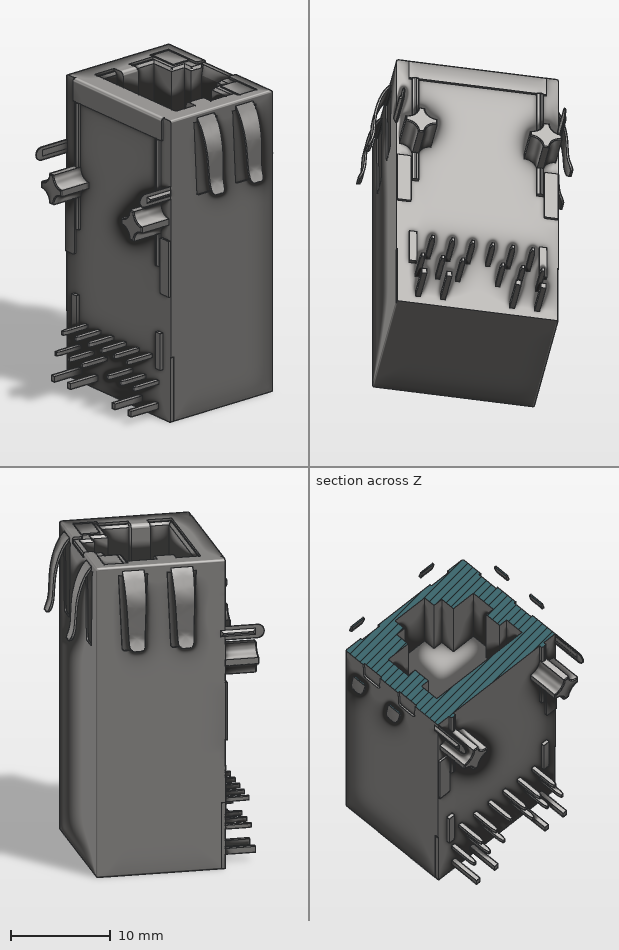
import cadquery as cq


WIDTH = 16.5
DEPTH = 13.25
HEIGHT = 32.5
HALF_WIDTH = WIDTH / 2
EDGE_RADIUS = 0.25
CORNER_RADIUS = 0.2
SHEET = 0.25
EMBED = 0.5

INSERT_TOP = HEIGHT - SHEET
LED_SETBACK = 0.12
LED_TOP = HEIGHT - LED_SETBACK
CAVITY_DEPTH = 14.0
CAVITY_FLOOR = HEIGHT - CAVITY_DEPTH
LEAD_IN = 0.28
LEAD_IN_ANGLE = 45
CAVITY_BOTTOM = 2.5
PLUG_HALF_WIDTH = 5.95
SHOULDER_Y = 9.4
STEP_HALF_WIDTH = 3.15
STEP_Y = 11.05
LATCH_HALF_WIDTH = 2.05
LATCH_Y = 12.4
LATCH_LEAD_IN = 0.22
LATCH_LEAD_IN_DEPTH = 1.1

WINDOW_HALF_WIDTH = 6.42
WINDOW_BOTTOM = 2.12
WINDOW_CORNER_RADIUS = 0.15
LED_WINDOW_HALF_WIDTH = 7.0
LED_WINDOW_BOTTOM = 9.7
LED_WINDOW_TOP = 12.15
NOTCH_HALF_WIDTH = 2.5
NOTCH_BACK_SHEET = 0.13
NOTCH_TOP = DEPTH - NOTCH_BACK_SHEET
NOTCH_BACK_DROP = 0.6
LED_INNER_X = 3.75
LED_BOTTOM = 10.1

KEY_INNER_X = 4.97
KEY_BOTTOM = 4.65
KEY_TOP = 6.6
KEY_RADIUS = 0.48

SPRING_REACH = 2.215
SPRING_SHEET_OFFSET = (-0.2, -0.1)
SPRING_TIP_Z = 24.15
SPRING_TIP_CUT = 0.08
SPRING_CURVE = (
    (-0.2, 32.24),
    (0.5, 31.43),
    (1.13, 30.07),
    (1.5, 28.6),
    (1.64, 27.2),
    (1.77, 25.4),
    (SPRING_REACH, SPRING_TIP_Z + SPRING_TIP_CUT),
)
SPRING_ROOT_WIDTH = 2.24
SPRING_TIP_WIDTH = 1.56
SPRING_TIP_RADIUS = 0.6
SLOT_TOP = 31.6
SLOT_BOTTOM = 23.68
SLOT_TOP_WIDTH = 3.0
SLOT_BOTTOM_WIDTH = 2.24
SLOT_RECESS = 0.2
SLOT_RADIUS = 0.3
SIDE_SPRING_Y = (4.48, 9.48)
BACK_SPRING_X = 4.87

LIP_HALF_WIDTH = 7.0
LIP_DROP = 2.43
LIP_PROUD = 0.22
LIP_RADIUS = 0.38
RIB_PROUD = 0.37
RIB_WIDTH = 0.64
RIB_CREST = 0.14
RIB_SHOULDER = 0.27
RIB_BOTTOM = 16.45
TAB_INNER_X = 6.77
TAB_BOTTOM = 13.55
TAB_TOP = 19.57
TAB_RADIUS = 0.2
FOOT_INNER_X = 6.25
FOOT_OUTER_X = 7.0
FOOT_BOTTOM = 5.35
FOOT_TOP = 9.3
RELIEF = 0.08
RELIEF_HEIGHT = 7.0
RELIEF_DEPTH = 0.4

POST_X = 6.35
POST_Z = 21.57
POST_LENGTH = 3.56
POST_REACH = 1.6
POST_FLAT = 0.66
POST_END_CHAMFER = 0.1

GROUND_PIN_Z = 24.78
GROUND_PIN_WIDTH = 1.4
GROUND_PIN_LENGTH = 3.995
GROUND_PIN_SHEET = 0.1
STIFFENER_PROUD = 0.25
STIFFENER_WIDTH = 0.65
STIFFENER_END = 3.1
STIFFENER_SLOPE = 45
STIFFENER_STARTS = ((-1, 0.5), (1, 0.0))

SIGNAL_PIN_WIDTH = 0.45
SIGNAL_PIN_THICKNESS = 0.4
SIGNAL_PIN_LENGTH = 3.14
SIGNAL_TIP_LENGTH = 0.5
SIGNAL_TIP_WIDTH = 0.25
SIGNAL_PITCH = 1.02
UPPER_ROW_Z = 6.33
LOWER_ROW_Z = 3.78
UPPER_ROW_PITCHES = (1, 3, 5)
LOWER_ROW_PITCHES = (2, 4, 6)
LED_PIN_X = (3.53, 6.07)
LED_PIN_Z = 1.23
LED_PIN_WIDTH = 0.5
LED_PIN_HEIGHT = 0.62
LED_PIN_LENGTH = 3.56


def block(x0, x1, y0, y1, z0, z1):
    """Box between two corners."""
    return cq.Workplane("XY").box(x1 - x0, y1 - y0, z1 - z0, centered=False).translate((x0, y0, z0))


def both_sides(shape):
    """The shape together with its mirror image across x = 0."""
    return shape.union(shape.mirror("YZ"))


def make_housing():
    body = block(-HALF_WIDTH, HALF_WIDTH, 0, DEPTH, 0, HEIGHT)
    body = body.edges("|Z and >Y").fillet(CORNER_RADIUS)
    body = body.faces(">Z").edges("not <Y").fillet(EDGE_RADIUS)
    return body.faces("<Z").edges("not <Y").fillet(CORNER_RADIUS)


def add_lip(body):
    """Shield edge folded with a round bend from the mouth onto the board face."""
    corner = block(-LIP_HALF_WIDTH, LIP_HALF_WIDTH, 0, EMBED, HEIGHT - LIP_DROP, HEIGHT)
    lip = block(-LIP_HALF_WIDTH, LIP_HALF_WIDTH, -LIP_PROUD, EMBED, HEIGHT - LIP_DROP, HEIGHT)
    return body.cut(corner).union(lip.edges(">Z and <Y").fillet(LIP_RADIUS))


def cavity_outline(latch_y):
    """Stepped outline of the plug cavity, closed by the latch side at latch_y."""
    right = [
        (PLUG_HALF_WIDTH, CAVITY_BOTTOM),
        (PLUG_HALF_WIDTH, SHOULDER_Y),
        (STEP_HALF_WIDTH, SHOULDER_Y),
        (STEP_HALF_WIDTH, STEP_Y),
        (LATCH_HALF_WIDTH, STEP_Y),
        (LATCH_HALF_WIDTH, latch_y),
    ]
    left = [(-x, y) for x, y in reversed(right)]
    return cq.Workplane("XY").workplane(offset=INSERT_TOP).polyline(right + left).close()


def make_window():
    """Opening in the shield sheet, running out through the back wall between the LEDs."""
    plug = block(-WINDOW_HALF_WIDTH, WINDOW_HALF_WIDTH, WINDOW_BOTTOM, LED_WINDOW_TOP, INSERT_TOP, HEIGHT)
    leds = block(-LED_WINDOW_HALF_WIDTH, LED_WINDOW_HALF_WIDTH,
                 LED_WINDOW_BOTTOM, LED_WINDOW_TOP, INSERT_TOP, HEIGHT)
    notch = block(-NOTCH_HALF_WIDTH, NOTCH_HALF_WIDTH, LED_WINDOW_BOTTOM, DEPTH, INSERT_TOP, HEIGHT)
    notch_back = block(-NOTCH_HALF_WIDTH, NOTCH_HALF_WIDTH, NOTCH_TOP, DEPTH,
                       HEIGHT - NOTCH_BACK_DROP, HEIGHT)
    plug = plug.edges("|Z and <Y").fillet(WINDOW_CORNER_RADIUS)
    leds = leds.edges("|Z and <Y").fillet(WINDOW_CORNER_RADIUS)
    window = plug.union(leds).union(notch)
    for x in (-NOTCH_HALF_WIDTH, NOTCH_HALF_WIDTH):
        corner = cq.selectors.NearestToPointSelector((x, LED_WINDOW_TOP, (INSERT_TOP + HEIGHT) / 2))
        window = window.edges("|Z").edges(corner).chamfer(WINDOW_CORNER_RADIUS)
    return window.union(notch_back)


def make_latch_lead_in():
    """Long shallow wedge along the latch side of the cavity."""
    bottom = INSERT_TOP - LATCH_LEAD_IN_DEPTH
    inside = LATCH_Y - LEAD_IN
    points = [(inside, INSERT_TOP), (LATCH_Y + LATCH_LEAD_IN, INSERT_TOP), (LATCH_Y, bottom), (inside, bottom)]
    return cq.Workplane("YZ").polyline(points).close().extrude(LATCH_HALF_WIDTH, both=True)


def cut_mouth(body):
    """Shield window with LED faces behind it, and the plug cavity with its lead-in."""
    body = body.cut(make_window())
    led = block(LED_INNER_X, LED_WINDOW_HALF_WIDTH, LED_BOTTOM, LED_WINDOW_TOP, INSERT_TOP - EMBED, LED_TOP)
    body = body.union(both_sides(led))
    rim = cavity_outline(LATCH_Y + LATCH_LEAD_IN - LEAD_IN).offset2D(LEAD_IN, "intersection")
    body = body.cut(cavity_outline(LATCH_Y).extrude(CAVITY_FLOOR - INSERT_TOP))
    return body.cut(rim.extrude(-LEAD_IN, taper=LEAD_IN_ANGLE)).cut(make_latch_lead_in())


def make_keys():
    key = block(KEY_INNER_X, WINDOW_HALF_WIDTH + EMBED, KEY_BOTTOM, KEY_TOP, CAVITY_FLOOR, HEIGHT)
    return both_sides(key.edges(">Z and <X").fillet(KEY_RADIUS))


def spring_profile():
    """Bowed sheet in the XZ plane: x is the distance outward from the wall."""
    dx, dz = SPRING_SHEET_OFFSET
    inner = [(x + dx, z + dz) for x, z in reversed(SPRING_CURVE)]
    outline = cq.Workplane("XZ").moveTo(*SPRING_CURVE[0]).spline(SPRING_CURVE[1:], includeCurrent=True)
    return outline.lineTo(*inner[0]).spline(inner[1:], includeCurrent=True).close()


def taper_plate(bottom_z, top_width, bottom_width, radius, x0, x1):
    """Plate between x0 and x1 that narrows from the slot top down to a rounded bottom."""
    top = top_width / 2
    bottom = bottom_width / 2
    points = [(-top, SLOT_TOP), (top, SLOT_TOP), (bottom, bottom_z), (-bottom, bottom_z)]
    plate = cq.Workplane("YZ").workplane(offset=x0).polyline(points).close().extrude(x1 - x0)
    return plate.edges("|X and <Z").fillet(radius)


def make_spring():
    """Spring finger on the wall x = 0, pointing along +X."""
    half = SPRING_ROOT_WIDTH / 2
    x0 = -EMBED
    x1 = SPRING_REACH + EMBED
    finger = taper_plate(SPRING_TIP_Z, SPRING_ROOT_WIDTH, SPRING_TIP_WIDTH, SPRING_TIP_RADIUS, x0, x1)
    finger = finger.union(block(x0, x1, -half, half, SLOT_TOP, HEIGHT))
    sheet = spring_profile().extrude(SPRING_ROOT_WIDTH).translate((0, half, 0))
    return sheet.intersect(finger)


def make_slot():
    """Shallow recess in the wall behind a spring finger."""
    return taper_plate(SLOT_BOTTOM, SLOT_TOP_WIDTH, SLOT_BOTTOM_WIDTH, SLOT_RADIUS, -SLOT_RECESS, EMBED)


def spring_places():
    """Wall position and outward direction in degrees for every spring."""
    places = []
    for side in (-1, 1):
        places.append((side * BACK_SPRING_X, DEPTH, 90))
        for y in SIDE_SPRING_Y:
            places.append((side * HALF_WIDTH, y, 90 - side * 90))
    return places


def put_on_wall(shape, x, y, direction):
    return shape.rotate((0, 0, 0), (0, 0, 1), direction).translate((x, y, 0))


def add_springs(body):
    for place in spring_places():
        body = body.cut(put_on_wall(make_slot(), *place))
        body = body.union(put_on_wall(make_spring(), *place))
    return body


def make_ribs():
    """Crush rib with a shallow roof and a narrow crest, running down from the lip on each side."""
    foot = RIB_WIDTH / 2
    crest = RIB_CREST / 2
    points = [(-foot, EMBED), (foot, EMBED), (foot, -RIB_SHOULDER), (crest, -RIB_PROUD),
              (-crest, -RIB_PROUD), (-foot, -RIB_SHOULDER)]
    rib = cq.Workplane("XY").polyline(points).close().extrude(HEIGHT - LIP_DROP - RIB_BOTTOM)
    return both_sides(rib.translate((POST_X, 0, RIB_BOTTOM)))


def make_tabs():
    tab = block(TAB_INNER_X, HALF_WIDTH - RELIEF, -LIP_PROUD, EMBED, TAB_BOTTOM, TAB_TOP)
    return both_sides(tab.edges("|Y and <X").fillet(TAB_RADIUS))


def make_feet():
    return both_sides(block(FOOT_INNER_X, FOOT_OUTER_X, -RIB_PROUD, EMBED, FOOT_BOTTOM, FOOT_TOP))


def make_reliefs():
    return both_sides(block(HALF_WIDTH - RELIEF, HALF_WIDTH, 0, RELIEF_DEPTH, 0, RELIEF_HEIGHT))


def make_posts():
    """Four-pointed star posts with concave flanks."""
    flat = POST_FLAT / 2
    radius = POST_REACH - flat
    side = 2 * POST_REACH
    base = cq.Workplane("XZ").workplane(offset=-EMBED)
    post = base.rect(side, side).extrude(POST_LENGTH + EMBED)
    flanks = base.rect(side, side, forConstruction=True).vertices().circle(radius)
    post = post.cut(flanks.extrude(POST_LENGTH + EMBED))
    post = post.faces("<Y").chamfer(POST_END_CHAMFER)
    return both_sides(post.translate((POST_X, 0, POST_Z)))


def make_ground_pins():
    """Flat pins in line with the side walls, with full-round ends."""
    half = GROUND_PIN_WIDTH / 2
    end_centre = half - GROUND_PIN_LENGTH
    x0 = HALF_WIDTH - GROUND_PIN_SHEET
    pin = block(x0, HALF_WIDTH, end_centre, EMBED, GROUND_PIN_Z - half, GROUND_PIN_Z + half)
    end = cq.Workplane("YZ").workplane(offset=x0).center(end_centre, GROUND_PIN_Z).circle(half)
    return both_sides(pin.union(end.extrude(GROUND_PIN_SHEET)))


def make_stiffeners():
    """Pressed rib with four sloping sides along the outside of each ground pin."""
    parts = cq.Workplane("XY")
    for side, start in STIFFENER_STARTS:
        length = start + STIFFENER_END
        face = cq.Workplane("YZ").workplane(offset=side * HALF_WIDTH)
        face = face.center(start - length / 2, GROUND_PIN_Z).rect(length, STIFFENER_WIDTH)
        parts = parts.union(face.extrude(side * STIFFENER_PROUD, taper=STIFFENER_SLOPE))
    return parts


def make_signal_pin(x, z):
    """Thin pin whose tip narrows across its width."""
    half = SIGNAL_PIN_WIDTH / 2
    tip = SIGNAL_TIP_WIDTH / 2
    shoulder = SIGNAL_TIP_LENGTH - SIGNAL_PIN_LENGTH
    points = [(half, EMBED), (half, shoulder), (tip, -SIGNAL_PIN_LENGTH),
              (-tip, -SIGNAL_PIN_LENGTH), (-half, shoulder), (-half, EMBED)]
    pin = cq.Workplane("XY").polyline(points).close().extrude(SIGNAL_PIN_THICKNESS)
    return pin.translate((x, 0, z - SIGNAL_PIN_THICKNESS / 2))


def make_contact_pins():
    pins = cq.Workplane("XY")
    for z, pitches in ((UPPER_ROW_Z, UPPER_ROW_PITCHES), (LOWER_ROW_Z, LOWER_ROW_PITCHES)):
        for count in pitches:
            pins = pins.union(both_sides(make_signal_pin(count * SIGNAL_PITCH, z)))
    for x in LED_PIN_X:
        pin = block(x - LED_PIN_WIDTH / 2, x + LED_PIN_WIDTH / 2, -LED_PIN_LENGTH, EMBED,
                    LED_PIN_Z - LED_PIN_HEIGHT / 2, LED_PIN_Z + LED_PIN_HEIGHT / 2)
        pins = pins.union(both_sides(pin))
    return pins


result = cut_mouth(add_lip(make_housing()))
result = result.union(make_keys())
result = add_springs(result)
result = result.cut(make_reliefs())
result = result.union(make_ribs()).union(make_tabs()).union(make_feet())
result = result.union(make_posts())
result = result.union(make_ground_pins()).union(make_stiffeners())
result = result.union(make_contact_pins())